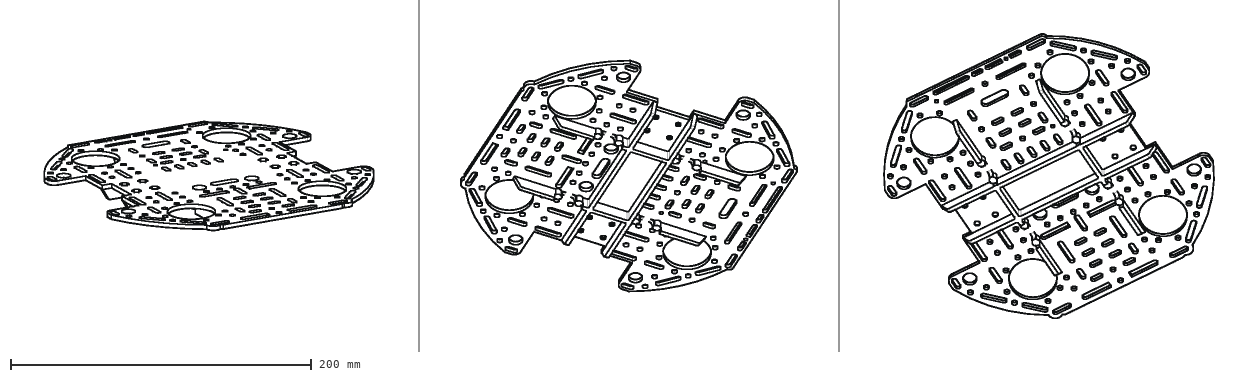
import cadquery as cq

DECK_THICKNESS = 3.0
DECK_RADIUS = 109.8
LEFT_EDGE = -99.0
RIGHT_EDGE = 100.0
HALF_DEPTH = 100.0

HORN_INNER_X = 36.0
TAB_Y = 74.0
NOTCH_HALF_WIDTH = 13.2
NOTCH_Y = 67.0
HORN_ROUNDING = 4.8

GRID = 10.0
HOLE_DIA = 3.5
PIN_HOLE_DIA = 2.5
WIRE_HOLE_DIA = 9.2
WHEEL_HOLE_DIA = 32.0
WHEEL_X = 65.0
WHEEL_Y = 50.0
SLOT_WIDTH = 3.5
NARROW_SLOT_WIDTH = 3.0
WIDE_SLOT_WIDTH = 4.0
CABLE_SLOT_WIDTH = 6.0
NUT_ACROSS_FLATS = 5.5
NUT_ACROSS_CORNERS = 2 * NUT_ACROSS_FLATS / 3 ** 0.5
NUT_POCKET_DEPTH = 2.0
EDGE_SLOT_X = 95.0
EDGE_SLOT_OUTER_Y = 50.0
LEFT_EAR_Y = 48.8
RIGHT_EAR_Y = 50.2

RIB_DEPTH = 8.0
RIB_THICKNESS = 3.0
RIB_END_RUN = 4.5
RIB_END_ROUNDING = 2.0
CROSS_RIB_Y = 32.0
CROSS_RIB_HALF_LENGTH = 70.0
LONG_RIB_X = 14.5
LONG_RIB_HALF_LENGTH = 73.5
RIB_JOINT_ROUNDING = 1.0
POST_DIA = 5.2
POST_DEPTH = 5.0
POST_HALF_SPACING = 7.8
POST_PAIR_X = (-26.8, 30.2)
GAP_HALF_WIDTH = 5.0
GAP_ROUNDING = 2.5

BOTH = (-1, 1)


def mirrored_y(points):
    """The points, together with their mirror images in the X axis."""
    return [(x, side * y) for x, y in points for side in BOTH]


def mirrored_xy(points):
    """The points, together with their mirror images in both axes."""
    return [(side * x, y) for x, y in mirrored_y(points) for side in BOTH]


def block(x_min, x_max, y_min, y_max, z_min, z_max):
    size = (x_max - x_min, y_max - y_min, z_max - z_min)
    return cq.Workplane("XY").box(*size, centered=False).translate((x_min, y_min, z_min))


def deck_outline():
    deck = cq.Workplane("XY").circle(DECK_RADIUS).extrude(DECK_THICKNESS)
    ears = (
        cq.Workplane("XY")
        .pushPoints(mirrored_y([(-EDGE_SLOT_X, LEFT_EAR_Y), (EDGE_SLOT_X, RIGHT_EAR_Y)]))
        .circle(RIGHT_EDGE - EDGE_SLOT_X)
        .extrude(DECK_THICKNESS)
    )
    bounds = block(LEFT_EDGE, RIGHT_EDGE, -HALF_DEPTH, HALF_DEPTH, 0, DECK_THICKNESS)
    deck = deck.union(ears).intersect(bounds)
    for half_width, inner_y in ((HORN_INNER_X, TAB_Y), (NOTCH_HALF_WIDTH, NOTCH_Y)):
        for side in BOTH:
            y_min, y_max = sorted((side * inner_y, side * DECK_RADIUS))
            deck = deck.cut(block(-half_width, half_width, y_min, y_max, 0, DECK_THICKNESS))
    for corner in mirrored_xy([(HORN_INNER_X, HALF_DEPTH)]):
        nearest = cq.selectors.NearestToPointSelector((*corner, DECK_THICKNESS / 2))
        deck = deck.edges("|Z").edges(nearest).fillet(HORN_ROUNDING)
    return deck


def round_cutter(points, diameter):
    return cq.Workplane("XY").pushPoints(points).circle(diameter / 2).extrude(DECK_THICKNESS)


def slot_cutter(points, span, angle=0, width=SLOT_WIDTH):
    """Slots centred on the points; span is the distance between the end-arc centres."""
    return (
        cq.Workplane("XY")
        .pushPoints(points)
        .slot2D(span + width, width, angle)
        .extrude(DECK_THICKNESS)
    )


def hole_cutters():
    corner_holes = [(53.2, 91.2), (55.0, 80), (65.0, 70), (75.0, 70)]
    wheel_holes = [(50, 62), (80, 37.8), (45.0, 50), (85.0, 50)]
    motor_holes = [(25.0, 40), (35.0, 40), (45.0, 40), (25.0, 60), (35.0, 60)]
    yield round_cutter(mirrored_xy(corner_holes + wheel_holes + motor_holes), HOLE_DIA)

    side_holes = [(-55.0, 20), (32.2, 10), (32.2, 20), (75.0, 30), (85.0, 30)]
    axis_holes = [(-85.0, 0), (-35.0, 0), (32.2, 0), (85.0, 0), (95.0, 0)]
    yield round_cutter(mirrored_y(side_holes) + axis_holes + [(-75.0, -30)], HOLE_DIA)

    pin_holes = [(-89.2, 34.8), (-39.2, 34.8), (-33.5, -22.2), (-95.2, -22.2)]
    yield round_cutter(pin_holes, PIN_HOLE_DIA)
    yield round_cutter(mirrored_xy([(43.8, 86.2)]) + mirrored_y([(22.5, 20)]), WIRE_HOLE_DIA)
    yield round_cutter(mirrored_xy([(WHEEL_X, WHEEL_Y)]), WHEEL_HOLE_DIA)


def slot_cutters():
    short, medium, long, diagonal = GRID / 2, GRID, 1.5 * GRID, GRID * 2 ** 0.5

    yield slot_cutter(mirrored_xy([(42.5, 96)]), short)
    yield slot_cutter(mirrored_y([(-67.5, 20), (-42.5, 20), (-22.5, 20), (77.5, 20)]), short)
    yield slot_cutter(mirrored_y([(-22.5, 10)]) + [(-22.5, 0)], short)
    yield slot_cutter(mirrored_xy([(50, 70)]) + [(42.5, 0)], medium)
    yield slot_cutter(mirrored_xy([(27.5, 70), (27.5, 50)]) + mirrored_y([(57.5, 20)]), long)

    inner_columns = [(x, 7.5) for x in (-55.0, -45.0, 55.0, 65.0, 75.0)]
    yield slot_cutter(mirrored_y(inner_columns + [(-35.0, 12.5), (85.0, 12.5)]), short, 90)
    yield slot_cutter(mirrored_xy([(EDGE_SLOT_X, EDGE_SLOT_OUTER_Y - medium / 2)]), medium, 90)
    yield slot_cutter(mirrored_y([(-85.0, 20)]), 19.5, 90, NARROW_SLOT_WIDTH)
    yield slot_cutter([(-72, 0), (20.8, 0)], 14.0, 90, CABLE_SLOT_WIDTH)

    for side_x in BOTH:
        for side_y in BOTH:
            centers = [(side_x * x, side_y * y) for x, y in ((65.0, 80), (85.0, 60))]
            yield slot_cutter(centers, diagonal, -45 * side_x * side_y)


def edge_row_cutters():
    half = WIDE_SLOT_WIDTH / 2
    inner_y, outer_y = 7.8, 28.8
    end_center_y = outer_y - half
    for x in (39.5, 94.5):
        for side in BOTH:
            y_min, y_max = sorted((side * inner_y, side * end_center_y))
            yield block(x - half, x + half, y_min, y_max, 0, DECK_THICKNESS)
            yield round_cutter([(x, side * end_center_y)], WIDE_SLOT_WIDTH)

    row_x, row_y, long_span = -95.5, 20.0, 24.0
    bridge_y, bridge_half_width = -22.0, 3.2
    yield slot_cutter([(row_x, row_y)], long_span, 90, NARROW_SLOT_WIDTH)
    yield slot_cutter([(row_x, 0)], GRID / 2, 90, NARROW_SLOT_WIDTH)
    bridge = block(
        row_x - NARROW_SLOT_WIDTH,
        row_x + NARROW_SLOT_WIDTH,
        bridge_y - bridge_half_width,
        bridge_y + bridge_half_width,
        0,
        DECK_THICKNESS,
    )
    yield slot_cutter([(row_x, -row_y)], long_span, 90, NARROW_SLOT_WIDTH).cut(bridge)


def nut_cutters():
    centers = mirrored_xy([(8.2, 46.0), (8.2, 60.0)])
    yield round_cutter(centers, HOLE_DIA)
    yield (
        cq.Workplane("XY", origin=(0, 0, DECK_THICKNESS - NUT_POCKET_DEPTH))
        .pushPoints(centers)
        .polygon(6, NUT_ACROSS_CORNERS)
        .extrude(NUT_POCKET_DEPTH)
    )


def rib(half_length):
    """A rib along X, hanging from the deck, with sloped ends and rounded lower corners."""
    return (
        cq.Workplane("XZ")
        .moveTo(-half_length, 0)
        .lineTo(RIB_END_RUN - half_length, -RIB_DEPTH)
        .lineTo(half_length - RIB_END_RUN, -RIB_DEPTH)
        .lineTo(half_length, 0)
        .close()
        .extrude(RIB_THICKNESS / 2, both=True)
        .edges("|Y and <Z")
        .fillet(RIB_END_ROUNDING)
    )


def cross_rib():
    """A rib along X, shallower along each pair of posts and open between the posts."""
    half_rib = RIB_THICKNESS / 2
    half_step = POST_HALF_SPACING + POST_DIA / 2
    body = rib(CROSS_RIB_HALF_LENGTH)
    for pair_x in POST_PAIR_X:
        body = body.cut(
            block(pair_x - half_step, pair_x + half_step, -half_rib, half_rib, -RIB_DEPTH, -POST_DEPTH)
        )
        gap = block(pair_x - GAP_HALF_WIDTH, pair_x + GAP_HALF_WIDTH, -half_rib, half_rib, -RIB_DEPTH, 0)
        body = body.cut(gap.edges("|Y and >Z").fillet(GAP_ROUNDING))
        posts = (
            cq.Workplane("XY")
            .pushPoints([(pair_x + side * POST_HALF_SPACING, 0) for side in BOTH])
            .circle(POST_DIA / 2)
            .extrude(-POST_DEPTH)
        )
        body = body.union(posts)
    return body


def rib_frame():
    cross = cross_rib()
    long_rib = rib(LONG_RIB_HALF_LENGTH).rotate((0, 0, 0), (0, 0, 1), 90)
    frame = long_rib.translate((-LONG_RIB_X, 0, 0)).union(long_rib.translate((LONG_RIB_X, 0, 0)))
    for side in BOTH:
        frame = frame.union(cross.translate((0, side * CROSS_RIB_Y, 0)))
    left = -LONG_RIB_X
    right = LONG_RIB_X + RIB_THICKNESS
    reach_y = CROSS_RIB_Y + RIB_THICKNESS
    crossings = cq.selectors.BoxSelector((left, -reach_y, -RIB_DEPTH), (right, reach_y, 0))
    return frame.edges("|Z").edges(crossings).fillet(RIB_JOINT_ROUNDING)


deck = deck_outline()
for cutters in (hole_cutters(), slot_cutters(), edge_row_cutters(), nut_cutters()):
    for cutter in cutters:
        deck = deck.cut(cutter)

result = deck.union(rib_frame())